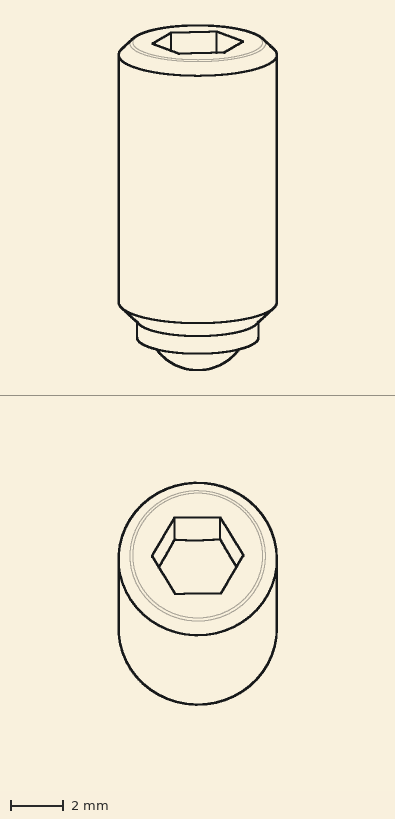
import cadquery as cq
import math

total_length = 12.8
body_diameter = 6.0
body_radius = body_diameter / 2

ball_radius = 1.95
nose_radius = 2.3
nose_bottom = 1.22
nose_length = 0.69
lower_chamfer = body_radius - nose_radius
nose_top = nose_bottom + nose_length

top_face_radius = 2.46
edge_round = 0.15
chamfer_angle = math.radians(45)
round_top_radius = top_face_radius + edge_round * math.sin(chamfer_angle)
round_bottom = total_length - edge_round * (1 - math.cos(chamfer_angle))
top_chamfer_bottom = round_bottom - (body_radius - round_top_radius)

socket_across_flats = 3.0
socket_corner_diameter = socket_across_flats / math.cos(math.pi / 6)
socket_depth = 3.07
socket_cone_angle = math.radians(120)
socket_cone_depth = socket_corner_diameter / 2 / math.tan(socket_cone_angle / 2)


def make_ball():
    """Full sphere that projects below the nose."""
    return cq.Workplane("XY").sphere(ball_radius).translate((0, 0, ball_radius))


def make_housing_blank():
    """Turned body with a stepped nose, a lower chamfer and a rounded top chamfer."""
    half_angle = chamfer_angle / 2
    round_middle = (
        top_face_radius + edge_round * math.sin(half_angle),
        total_length - edge_round * (1 - math.cos(half_angle)),
    )
    return (
        cq.Workplane("XZ")
        .moveTo(0, nose_bottom)
        .lineTo(nose_radius, nose_bottom)
        .lineTo(nose_radius, nose_top)
        .lineTo(body_radius, nose_top + lower_chamfer)
        .lineTo(body_radius, top_chamfer_bottom)
        .lineTo(round_top_radius, round_bottom)
        .threePointArc(round_middle, (top_face_radius, total_length))
        .lineTo(0, total_length)
        .close()
        .revolve(360, (0, 0, 0), (0, 1, 0))
    )


def make_socket():
    """Hexagonal prism, corners on X, trimmed below by a drill-point cone."""
    socket_floor = total_length - socket_depth
    prism = (
        cq.Workplane("XY", origin=(0, 0, total_length))
        .polygon(6, socket_corner_diameter)
        .extrude(-(socket_depth + socket_cone_depth))
    )
    drill = (
        cq.Workplane("XZ")
        .moveTo(0, socket_floor - socket_cone_depth)
        .lineTo(socket_corner_diameter / 2, socket_floor)
        .lineTo(body_radius, socket_floor)
        .lineTo(body_radius, total_length)
        .lineTo(0, total_length)
        .close()
        .revolve(360, (0, 0, 0), (0, 1, 0))
    )
    return prism.intersect(drill)


ball = make_ball()
housing = make_housing_blank().cut(make_socket()).cut(ball).solids()

result = cq.Compound.makeCompound([housing.val(), ball.val()])